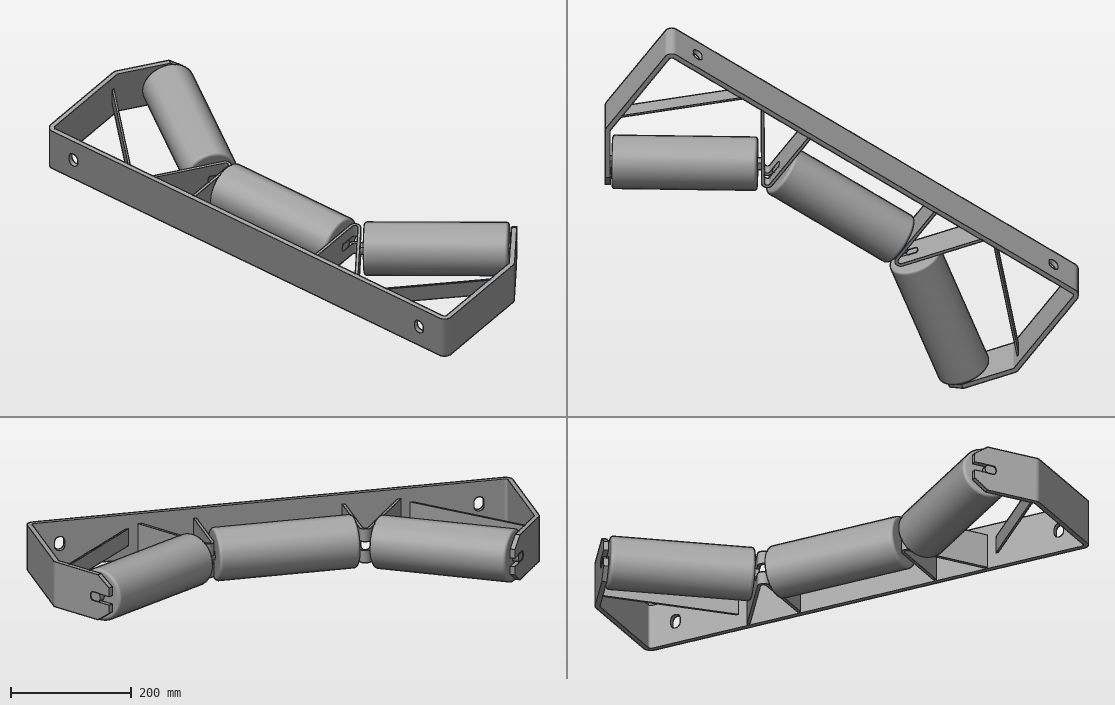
import cadquery as cq
import math

TROUGH_ANGLE = 35.0
SIN_TROUGH = math.sin(math.radians(TROUGH_ANGLE))
COS_TROUGH = math.cos(math.radians(TROUGH_ANGLE))
TAN_TROUGH = math.tan(math.radians(TROUGH_ANGLE))

FRAME_LENGTH = 830.0
FRAME_HEIGHT = 80.0
FRAME_THICKNESS = 8.0
FRAME_BEND_RADIUS = 5.0
ARM_FOLD_Y = 187.0
ARM_END_Y = 284.0
ARM_CHAMFER_LENGTH = 24.0
ARM_CHAMFER_HEIGHT = 17.5
MOUNT_SLOT_X = 358.5
MOUNT_SLOT_WIDTH = 17.5
MOUNT_SLOT_HEIGHT = 25.0

ROLLER_DIAMETER = 89.0
ROLLER_LENGTH = 240.0
ROLLER_EDGE_RADIUS = 5.0
SHAFT_DIAMETER = 20.0
SHAFT_FLATS = 15.0
CENTER_ROLLER_Y = 102.0
CENTER_ROLLER_Z = -7.5
SIDE_ROLLER_X = 256.5
SIDE_ROLLER_Y = 183.5
SIDE_ROLLER_Z = -4.0
SIDE_ROLLER_TILT = 1.6
SIDE_SHAFT_END = 130.0

BRACKET_THICKNESS = 5.0
BRACKET_BEND_RADIUS = 5.0
BRACKET_UPRIGHT_X = 124.5
BRACKET_FOOT_X = 225.0
BRACKET_HEIGHT = 60.0
CENTER_SHAFT_END = BRACKET_UPRIGHT_X + BRACKET_THICKNESS

STRUT_THICKNESS = 3.0
STRUT_HEIGHT = 30.0
STRUT_REACH = 166.0

SLOT_CUT_START = ROLLER_LENGTH / 2
SLOT_CUT_END = 141.0
SLOT_CUT_DEPTH = 166.0


def mirrored(body):
    return body.mirror("YZ")


def offset_joint(before, joint, after, distance):
    """Mitre point at `distance` to the left of the path before -> joint -> after."""
    heading_in = math.atan2(joint[1] - before[1], joint[0] - before[0])
    heading_out = math.atan2(after[1] - joint[1], after[0] - joint[0])
    middle = (heading_in + heading_out) / 2
    reach = distance / math.cos((heading_out - heading_in) / 2)
    return (joint[0] - reach * math.sin(middle), joint[1] + reach * math.cos(middle))


def extended(start, end):
    """Point as far beyond `end` as `start` is before it."""
    return (2 * end[0] - start[0], 2 * end[1] - start[1])


def folded_strip(path, thickness, inner_radius, height):
    """Strip standing on edge whose outer face follows `path`, with its material on the left.

    All folds turn left, so the path side of each fold has the larger radius.
    """
    points = [extended(path[1], path[0])] + path + [extended(path[-2], path[-1])]
    inner = [
        offset_joint(before, joint, after, thickness)
        for before, joint, after in zip(points, points[1:], points[2:])
    ]
    strip = cq.Workplane("XY").polyline(path + inner[::-1]).close().extrude(height / 2, both=True)
    for corners, radius in ((path, inner_radius + thickness), (inner, inner_radius)):
        for x, y in corners[1:-1]:
            fold_edge = cq.selectors.NearestToPointSelector((x, y, 0))
            strip = strip.edges(fold_edge).fillet(radius)
    return strip


def make_rod(diameter, start, end):
    """Round rod on the X axis."""
    return cq.Workplane("YZ", origin=(start, 0, 0)).circle(diameter / 2).extrude(end - start)


def make_roller(shaft_end):
    """Roller on the X axis, centred on the origin; the shaft has flats above and below."""
    shell = make_rod(ROLLER_DIAMETER, -ROLLER_LENGTH / 2, ROLLER_LENGTH / 2)
    shell = shell.faces("<X or >X").edges().fillet(ROLLER_EDGE_RADIUS)
    shaft = make_rod(SHAFT_DIAMETER, -shaft_end, shaft_end)
    flats = cq.Workplane("XY").box(2 * shaft_end, SHAFT_DIAMETER, SHAFT_FLATS)
    return shell.union(shaft.intersect(flats))


def make_shaft_slot():
    """Cutter at the +X end of a roller on the X axis: a shaft seat open towards +Y."""
    length = SLOT_CUT_END - SLOT_CUT_START
    seat = make_rod(SHAFT_DIAMETER, SLOT_CUT_START, SLOT_CUT_END)
    flats = cq.Workplane("XY").box(2 * SLOT_CUT_END, SHAFT_DIAMETER, SHAFT_FLATS)
    opening = cq.Workplane("XY").box(length, SLOT_CUT_DEPTH, SHAFT_FLATS)
    opening = opening.translate((SLOT_CUT_START + length / 2, SLOT_CUT_DEPTH / 2, 0))
    return seat.intersect(flats).union(opening)


def place_center(body):
    """Move a body from the X axis to the centre roller."""
    return body.translate((0, CENTER_ROLLER_Y, CENTER_ROLLER_Z))


def place_side(body):
    """Move a body from the X axis to the left side roller, whose outer end is raised."""
    tilted = body.rotate((0, 0, 0), (0, 1, 0), SIDE_ROLLER_TILT)
    turned = tilted.rotate((0, 0, 0), (0, 0, 1), -TROUGH_ANGLE)
    return turned.translate((-SIDE_ROLLER_X, SIDE_ROLLER_Y, SIDE_ROLLER_Z))


def make_mount_slot():
    """Cutter for the left mounting slot through the base."""
    slot = cq.Workplane("XZ", origin=(-MOUNT_SLOT_X, 0, 0))
    return slot.slot2D(MOUNT_SLOT_HEIGHT, MOUNT_SLOT_WIDTH, 90).extrude(-FRAME_THICKNESS)


def make_arm_wedge(arm_end_x, side):
    """Cutter for the chamfered upper (side = 1) or lower (side = -1) corner of the left arm."""
    arm_plane = cq.Plane(
        origin=(-arm_end_x, ARM_END_Y, 0),
        xDir=(-SIN_TROUGH, -COS_TROUGH, 0),
        normal=(-COS_TROUGH, SIN_TROUGH, 0),
    )
    corner_z = FRAME_HEIGHT / 2
    corner = [
        (0, side * (corner_z - ARM_CHAMFER_HEIGHT)),
        (0, side * corner_z),
        (ARM_CHAMFER_LENGTH, side * corner_z),
    ]
    return cq.Workplane(arm_plane).polyline(corner).close().extrude(FRAME_THICKNESS, both=True)


def make_frame():
    half = FRAME_LENGTH / 2
    arm_end_x = half - (ARM_END_Y - ARM_FOLD_Y) * TAN_TROUGH
    right = [(half, 0), (half, ARM_FOLD_Y), (arm_end_x, ARM_END_Y)]
    left = [(-x, y) for x, y in reversed(right)]
    frame = folded_strip(left + right, FRAME_THICKNESS, FRAME_BEND_RADIUS, FRAME_HEIGHT)
    cutters = [
        make_mount_slot(),
        make_arm_wedge(arm_end_x, 1),
        make_arm_wedge(arm_end_x, -1),
        place_side(mirrored(make_shaft_slot())),
    ]
    for cutter in cutters:
        frame = frame.cut(cutter).cut(mirrored(cutter))
    return frame


def make_bracket():
    """Left bracket, carrying the centre roller and the inner end of the side roller."""
    foot_y = FRAME_THICKNESS
    apex_y = foot_y + (BRACKET_FOOT_X - BRACKET_UPRIGHT_X) / TAN_TROUGH
    path = [
        (-BRACKET_UPRIGHT_X, foot_y),
        (-BRACKET_UPRIGHT_X, apex_y),
        (-BRACKET_FOOT_X, foot_y),
    ]
    bracket = folded_strip(path, BRACKET_THICKNESS, BRACKET_BEND_RADIUS, BRACKET_HEIGHT)
    bracket = bracket.translate((0, 0, CENTER_ROLLER_Z))

    base = cq.Workplane("XY").box(FRAME_LENGTH, FRAME_THICKNESS, FRAME_HEIGHT)
    bracket = bracket.cut(base.translate((0, FRAME_THICKNESS / 2, 0)))

    slot = make_shaft_slot()
    return bracket.cut(place_center(mirrored(slot))).cut(place_side(slot))


def make_strut():
    """Left diagonal strut at 45 degrees, from the upright to the base."""
    inner_x = -FRAME_LENGTH / 2 + FRAME_THICKNESS
    inner_y = FRAME_THICKNESS
    near_reach = STRUT_REACH - STRUT_THICKNESS * math.sqrt(2)
    outline = [
        (inner_x, inner_y + STRUT_REACH),
        (inner_x + STRUT_REACH, inner_y),
        (inner_x + near_reach, inner_y),
        (inner_x, inner_y + near_reach),
    ]
    return cq.Workplane("XY").polyline(outline).close().extrude(STRUT_HEIGHT / 2, both=True)


frame = make_frame()
center_roller = place_center(make_roller(CENTER_SHAFT_END))
left_parts = [make_bracket(), make_strut(), place_side(make_roller(SIDE_SHAFT_END))]

bodies = [frame.val(), center_roller.val()]
for part in left_parts:
    bodies += [part.val(), mirrored(part).val()]

result = cq.Compound.makeCompound(bodies)